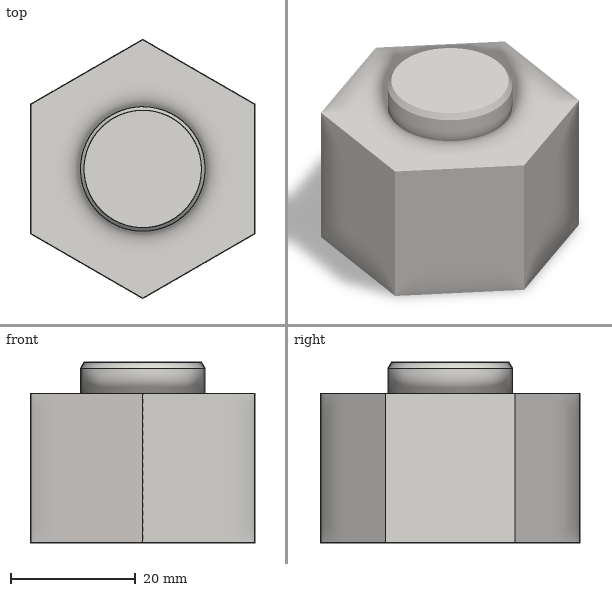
import cadquery as cq
import math

across_flats = 36.0
body_height = 24.0
side_count = 6
across_corners = across_flats / math.cos(math.pi / side_count)
corner_direction = 90.0

boss_diameter = 20.0
boss_height = 5.0

chamfer_height = 1.0
chamfer_angle = 30.0
chamfer_inset = chamfer_height * math.tan(math.radians(chamfer_angle))


def make_body():
    """Hexagonal prism standing on Z = 0, with flats facing +X and -X."""
    base_plane = cq.Workplane("XY").transformed(rotate=(0, 0, corner_direction))
    return base_plane.polygon(side_count, across_corners).extrude(body_height)


def make_boss():
    """Chamfered boss, revolved about Z from its half section."""
    boss_radius = boss_diameter / 2
    boss_top = body_height + boss_height
    half_section = (
        cq.Workplane("XZ")
        .moveTo(0, body_height)
        .lineTo(boss_radius, body_height)
        .lineTo(boss_radius, boss_top - chamfer_height)
        .lineTo(boss_radius - chamfer_inset, boss_top)
        .lineTo(0, boss_top)
        .close()
    )
    return half_section.revolve(360, (0, 0, 0), (0, 1, 0))


result = make_body().union(make_boss())